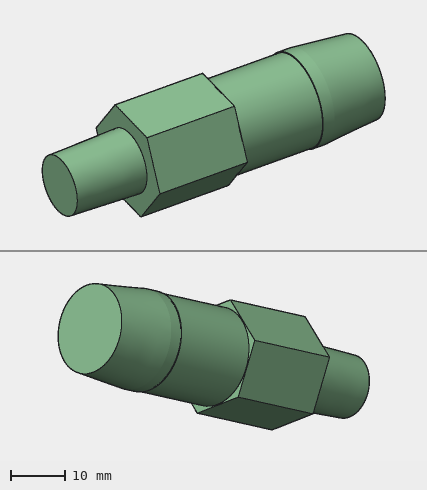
import cadquery as cq
import math

length = 65.95
hex_start = 15.0
hex_end = 34.2
collar_start = 51.65
collar_end = 54.2

spigot_tip_diameter = 11.95
spigot_taper = 1 / 16
spigot_root_diameter = spigot_tip_diameter + spigot_taper * hex_start
body_diameter = 18.6
collar_diameter = 19.0
nose_diameter = 16.9

hex_corner_diameter = 21.8
hex_turn = 6.3


def turned_section(stations):
    """Revolve (station, diameter) pairs into a solid about the Y axis."""
    outline = [(diameter / 2, station - length / 2) for station, diameter in stations]
    first_y = outline[0][1]
    last_y = outline[-1][1]
    points = [(0, first_y)] + outline + [(0, last_y)]
    return cq.Workplane("XY").polyline(points).close().revolve(360, (0, 0, 0), (0, 1, 0))


def hexagon():
    """Wrench hexagon between the spigot and the body."""
    corners = []
    for index in range(6):
        angle = math.radians(60 * index - hex_turn)
        radius = hex_corner_diameter / 2
        corners.append((radius * math.cos(angle), radius * math.sin(angle)))
    plane = cq.Workplane("XZ", origin=(0, hex_start - length / 2, 0))
    return plane.polyline(corners).close().extrude(hex_start - hex_end)


spigot = turned_section([
    (0, spigot_tip_diameter),
    (hex_start, spigot_root_diameter),
])

body = turned_section([
    (hex_end, body_diameter),
    (collar_start, body_diameter),
    (collar_start, collar_diameter),
    (collar_end, collar_diameter),
    (length, nose_diameter),
])

result = hexagon().union(spigot).union(body)